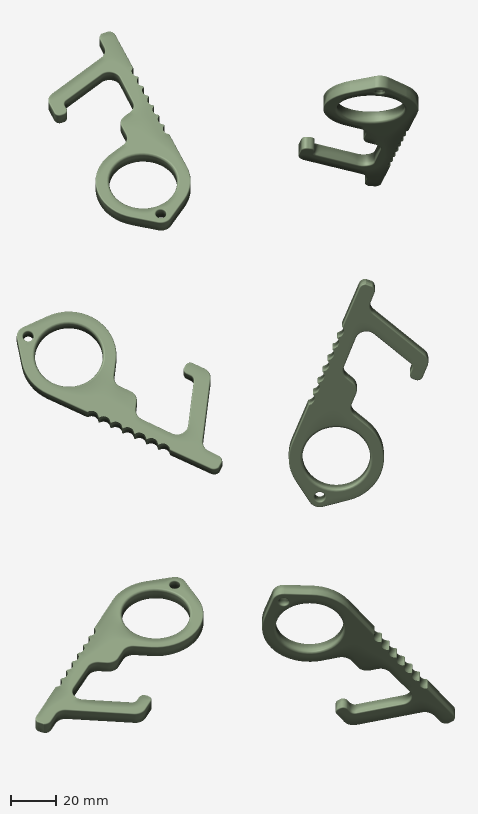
import cadquery as cq
import math

length = 108.8
width = 42.1
thickness = 6.0
edge_round = 0.5

ring_radius = width / 2
ring_hole_radius = 15.0
ring_hole_round = 1.1
eye_offset = 20.0
eye_hole_radius = 2.3
ring_offset = 83.6
left_end = -ring_offset
eye_radius = length - ring_offset - eye_offset

lean = math.radians(70)
bar_height_left = 7.3
bar_height_right = 7.9
leg_start = 11.1
leg_width = 7.8
tip_end = 35.5
tip_height = 6.0
belly_start = 44.4
belly_depth = 17.7
bend_radius = 5.0
end_radius = 3.3
end_trim = 0.2
tip_radius = 2.5

notch_count = 7
notch_pitch = 5.9
notch_first = 26.0
notch_radius = 3.0
notch_depth = 1.7

top = ring_radius
bottom = -ring_radius


def along_lean(start, y):
    """Point at height y on the leaning line through start."""
    return (start[0] + (start[1] - y) / math.tan(lean), y)


def bar_underside(distance):
    """Point on the tapered underside, at a distance from the left end."""
    growth = (bar_height_right - bar_height_left) / belly_start
    return (left_end + distance, top - bar_height_left - growth * distance)


def make_bar():
    """Bar, hook and neck as a prism with rounded corners."""
    leg_outer = bar_underside(leg_start)
    leg_inner = bar_underside(leg_start + leg_width)
    belly_corner = bar_underside(belly_start)
    tip_x = left_end + tip_end
    tip_top = bottom + tip_height
    belly_y = top - belly_depth
    neck_end = (-ring_radius * math.sin(lean), -ring_radius * math.cos(lean))

    rounded = [
        ((left_end - end_trim, top), end_radius),
        (bar_underside(-end_trim), end_radius),
        (leg_outer, bend_radius),
        (along_lean(leg_outer, bottom), bend_radius),
        ((tip_x, bottom), tip_radius),
        ((tip_x, tip_top), tip_radius),
        (along_lean(leg_inner, tip_top), tip_radius),
        (leg_inner, bend_radius),
        (belly_corner, bend_radius),
        (along_lean(belly_corner, belly_y), bend_radius),
        (along_lean(neck_end, belly_y), bend_radius),
    ]
    inside_ring = [neck_end, (0, 0), (0, top)]
    corners = [point for point, _ in rounded]
    bar = cq.Workplane("XY").polyline(corners + inside_ring).close().extrude(thickness)
    for (x, y), radius in rounded:
        corner = cq.selectors.NearestToPointSelector((x, y, thickness / 2))
        bar = bar.edges("|Z").edges(corner).fillet(radius)

    shaving = cq.Workplane("XY").box(end_trim, width, thickness, centered=(True, True, False))
    return bar.cut(shaving.translate((left_end - end_trim / 2, 0, 0)))


def make_ring():
    """Ring and eye discs joined by their two common tangents."""
    tangent = math.acos((ring_radius - eye_radius) / eye_offset)
    dx = math.cos(tangent)
    dy = math.sin(tangent)
    return (
        cq.Workplane("XY")
        .moveTo(ring_radius * dx, ring_radius * dy)
        .threePointArc((-ring_radius, 0), (ring_radius * dx, -ring_radius * dy))
        .lineTo(eye_offset + eye_radius * dx, -eye_radius * dy)
        .threePointArc((eye_offset + eye_radius, 0), (eye_offset + eye_radius * dx, eye_radius * dy))
        .close()
        .extrude(thickness)
    )


def hole_cutter(x, radius, lip):
    """Through hole whose two rims are rounded outwards by lip."""
    sag = lip * (1 - math.sqrt(0.5))
    return (
        cq.Workplane("XZ")
        .lineTo(radius + lip, 0)
        .threePointArc((radius + sag, sag), (radius, lip))
        .lineTo(radius, thickness - lip)
        .threePointArc((radius + sag, thickness - sag), (radius + lip, thickness))
        .lineTo(0, thickness)
        .close()
        .revolve(360, (0, 0, 0), (0, 1, 0))
        .translate((x, 0, 0))
    )


def cut_notches(plate):
    """Scallop the top edge with a row of equal cylinders."""
    notch = cq.Workplane("XY").circle(notch_radius).extrude(thickness)
    for i in range(notch_count):
        x = left_end + notch_first + i * notch_pitch
        plate = plate.cut(notch.translate((x, top - notch_depth + notch_radius, 0)))
    return plate


plate = make_bar().union(make_ring()).clean()
plate = plate.faces("<Z or >Z").edges().fillet(edge_round)
plate = plate.cut(hole_cutter(0, ring_hole_radius, ring_hole_round))
plate = plate.cut(hole_cutter(eye_offset, eye_hole_radius, edge_round))
result = cut_notches(plate)